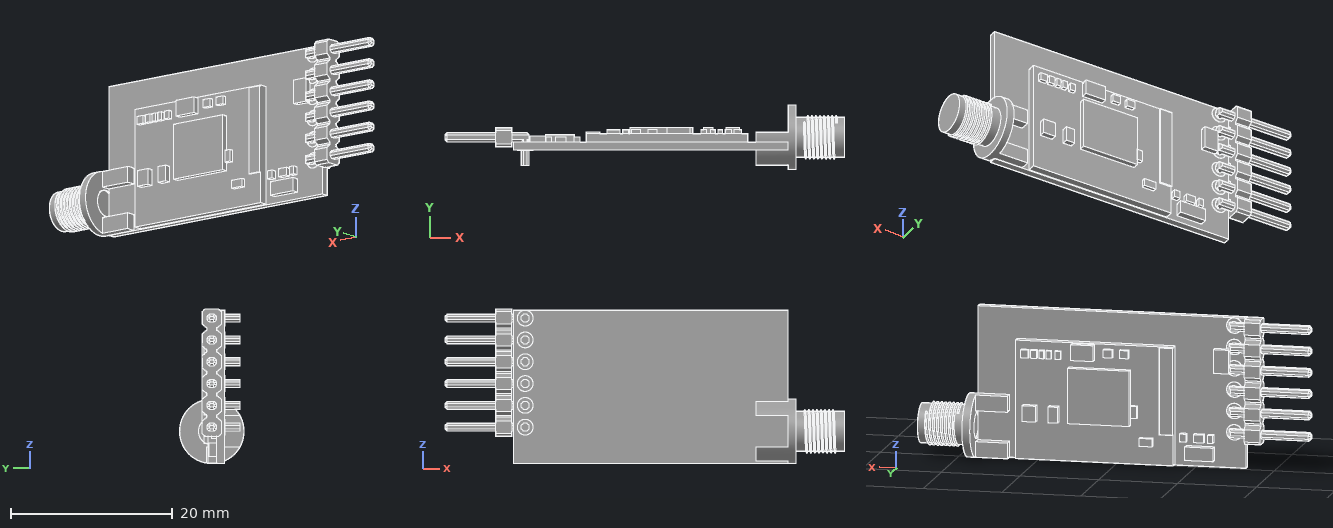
import cadquery as cq

BOARD_LENGTH = 34.0
BOARD_HEIGHT = 19.0
BOARD_THICKNESS = 1.0

PIN_COUNT = 6
PIN_PITCH = 2.7
PIN_WIDTH = 1.0
PIN_DEPTH = 1.2
PIN_BEVEL = 0.3
PIN_TIP_X = -8.5
PIN_HOLE_X = 1.45
PIN_TAIL_Y = -1.9
PIN_AXIS_Y = BOARD_THICKNESS + PIN_DEPTH / 2
PAD_DIAMETER = 1.95
PAD_THICKNESS = 0.04

HEADER_TOP_Z = 19.15
HEADER_END_MARGIN = 1.14
HEADER_LEFT_X = -2.2
HEADER_WIDTH = 2.0
HEADER_DEPTH = 2.4
HEADER_END_BEVEL = 0.35
NOTCH_DEPTH = 0.58
NOTCH_MOUTH = 1.2
NOTCH_FLOOR = 0.22
PIN_TOP_Z = HEADER_TOP_Z - HEADER_END_MARGIN
PIN_ROWS = [PIN_TOP_Z - row * PIN_PITCH for row in range(PIN_COUNT)]

FLANGE_DIAMETER = 8.0
FLANGE_THICKNESS = 1.0
CONNECTOR_Y = 1.6
CONNECTOR_Z = FLANGE_DIAMETER / 2
BARREL_DIAMETER = 5.0
BARREL_LENGTH = 6.0
LEG_LENGTH = 4.0
LEG_GAP = 3.9
LEG_BACK_Y = 2.25
SOCKET_DIAMETER = 3.3
SOCKET_DEPTH = 0.2

THREAD_START = 1.0
THREAD_TURNS = 8
THREAD_PITCH = 0.5
THREAD_LENGTH = THREAD_TURNS * THREAD_PITCH
THREAD_START_ANGLE = 135
THREAD_HEIGHT = 0.22
THREAD_ROOT_WIDTH = 0.36
THREAD_OVERLAP = 0.1

MODULE_LEFT_X = 9.0
MODULE_LENGTH = 20.0
MODULE_THICKNESS = 1.05
MODULE_BOTTOM_Z = 0.1
MODULE_HEIGHT = 15.0
MODULE_FACE_Y = BOARD_THICKNESS + MODULE_THICKNESS
BOARD_CHIP_HEIGHT = 0.65
MODULE_CHIP_HEIGHT = 0.5
TALL_CHIP_HEIGHT = 0.78

BOARD_COMPONENTS = [
    (2.0, 3.95, 12.0, 15.0, 0.76),
    (3.95, 7.55, 0.85, 2.55, 0.92),
    (4.05, 4.7, 3.1, 4.1, BOARD_CHIP_HEIGHT),
    (5.22, 6.5, 3.1, 4.1, BOARD_CHIP_HEIGHT),
    (7.47, 8.25, 3.1, 4.1, BOARD_CHIP_HEIGHT),
]
MODULE_COMPONENTS = [
    (9.0, 10.7, 4.0, 15.0, 0.22),
    (11.55, 13.2, 2.5, 3.5, MODULE_CHIP_HEIGHT),
    (13.5, 14.3, 6.0, 7.5, MODULE_CHIP_HEIGHT),
    (14.4, 22.2, 5.0, 12.0, TALL_CHIP_HEIGHT),
    (14.6, 15.7, 13.5, 14.5, MODULE_CHIP_HEIGHT),
    (16.65, 17.75, 13.5, 14.5, MODULE_CHIP_HEIGHT),
    (19.0, 21.85, 13.0, 15.0, TALL_CHIP_HEIGHT),
    (23.5, 24.7, 5.0, 7.0, TALL_CHIP_HEIGHT),
    (23.2, 23.9, 13.0, 14.0, MODULE_CHIP_HEIGHT),
    (24.4, 25.0, 13.0, 14.0, MODULE_CHIP_HEIGHT),
    (25.3, 25.9, 13.0, 14.0, MODULE_CHIP_HEIGHT),
    (26.2, 27.0, 13.0, 14.0, MODULE_CHIP_HEIGHT),
    (27.3, 28.25, 13.0, 14.0, MODULE_CHIP_HEIGHT),
    (26.3, 28.0, 5.0, 7.0, TALL_CHIP_HEIGHT),
]


def block(x_min, x_max, y_min, y_max, z_min, z_max):
    """Axis-aligned box between two opposite corners."""
    size = (x_max - x_min, y_max - y_min, z_max - z_min)
    return cq.Workplane("XY").box(*size, centered=False).translate((x_min, y_min, z_min))


def x_cylinder(diameter, x_min, x_max):
    """Cylinder along X on the connector axis."""
    plane = cq.Workplane("YZ", origin=(x_min, CONNECTOR_Y, CONNECTOR_Z))
    return plane.circle(diameter / 2).extrude(x_max - x_min)


def make_pin(z):
    """Bevelled right-angle pin with solder pads on both board faces."""
    bend_x = PIN_HOLE_X + PIN_WIDTH / 2
    back_y = PIN_AXIS_Y + PIN_DEPTH / 2
    half_width = PIN_WIDTH / 2
    arm = block(PIN_TIP_X, bend_x, BOARD_THICKNESS, back_y, z - half_width, z + half_width)
    arm = arm.edges("|X").chamfer(PIN_BEVEL)
    arm = arm.faces("<X").chamfer(PIN_BEVEL)
    arm = arm.faces(">X").edges(">Y").chamfer(PIN_BEVEL)
    tail = block(PIN_HOLE_X - half_width, bend_x, PIN_TAIL_Y, PIN_AXIS_Y, z - half_width, z + half_width)
    tail = tail.edges("|Y").chamfer(PIN_BEVEL)
    pad_plane = cq.Workplane("XZ", origin=(PIN_HOLE_X, BOARD_THICKNESS + PAD_THICKNESS, z))
    pads = pad_plane.circle(PAD_DIAMETER / 2).extrude(BOARD_THICKNESS + 2 * PAD_THICKNESS)
    return arm.union(tail).union(pads)


def make_header():
    """Plastic strip with a V-like notch on both sides between neighbouring pins."""
    bottom_z = PIN_ROWS[-1] - HEADER_END_MARGIN
    right_x = HEADER_LEFT_X + HEADER_WIDTH
    half_depth = HEADER_DEPTH / 2
    strip = block(
        HEADER_LEFT_X, right_x, PIN_AXIS_Y - half_depth, PIN_AXIS_Y + half_depth, bottom_z, HEADER_TOP_Z
    )
    strip = strip.edges("|X").chamfer(HEADER_END_BEVEL)
    half_floor = NOTCH_FLOOR / 2
    half_mouth = NOTCH_MOUTH / 2
    for upper_pin_z in PIN_ROWS[:-1]:
        notch_z = upper_pin_z - PIN_PITCH / 2
        for side in (-1, 1):
            face_y = side * half_depth
            floor_y = side * (half_depth - NOTCH_DEPTH)
            notch = (
                cq.Workplane("YZ", origin=(HEADER_LEFT_X, PIN_AXIS_Y, notch_z))
                .polyline([
                    (face_y, -half_mouth), (floor_y, -half_floor), (floor_y, half_floor), (face_y, half_mouth)
                ])
                .close()
                .extrude(HEADER_WIDTH)
            )
            strip = strip.cut(notch)
    return strip


def make_thread():
    """Triangular helical ridge, rooted slightly inside the barrel."""
    root_radius = BARREL_DIAMETER / 2 - THREAD_OVERLAP
    crest_radius = BARREL_DIAMETER / 2 + THREAD_HEIGHT
    half_root = THREAD_ROOT_WIDTH / 2
    helix = cq.Wire.makeHelix(THREAD_PITCH, THREAD_LENGTH, root_radius)
    ridge = (
        cq.Workplane("XZ")
        .polyline([(root_radius, -half_root), (crest_radius, 0), (root_radius, half_root)])
        .close()
        .sweep(cq.Workplane(obj=helix), isFrenet=True)
    )
    start_x = BOARD_LENGTH + FLANGE_THICKNESS + THREAD_START
    ridge = ridge.rotate((0, 0, 0), (0, 1, 0), 90)
    ridge = ridge.rotate((0, 0, 0), (1, 0, 0), THREAD_START_ANGLE)
    return ridge.translate((start_x, CONNECTOR_Y, CONNECTOR_Z))


def make_connector():
    """Flange with two legs gripping the board edge, and a threaded barrel."""
    flange_right_x = BOARD_LENGTH + FLANGE_THICKNESS
    leg_left_x = BOARD_LENGTH - LEG_LENGTH
    radius = FLANGE_DIAMETER / 2
    flange = x_cylinder(FLANGE_DIAMETER, BOARD_LENGTH, flange_right_x)
    flange = flange.cut(x_cylinder(SOCKET_DIAMETER, BOARD_LENGTH, BOARD_LENGTH + SOCKET_DEPTH))
    legs = x_cylinder(FLANGE_DIAMETER, leg_left_x, BOARD_LENGTH)
    leg_envelope = block(
        leg_left_x, BOARD_LENGTH, CONNECTOR_Y - radius, LEG_BACK_Y, CONNECTOR_Z - radius, CONNECTOR_Z + radius
    )
    gap = block(
        leg_left_x, BOARD_LENGTH, CONNECTOR_Y - radius, CONNECTOR_Y + radius,
        CONNECTOR_Z - LEG_GAP / 2, CONNECTOR_Z + LEG_GAP / 2,
    )
    legs = legs.intersect(leg_envelope).cut(gap)
    barrel = x_cylinder(BARREL_DIAMETER, flange_right_x, flange_right_x + BARREL_LENGTH)
    barrel = barrel.union(make_thread())
    return flange.union(legs).union(barrel)


def add_components(body, face_y, components):
    """Add box-shaped components standing on a face parallel to the board."""
    for left_x, right_x, bottom_z, top_z, height in components:
        body = body.union(block(left_x, right_x, face_y, face_y + height, bottom_z, top_z))
    return body


board = block(0, BOARD_LENGTH, 0, BOARD_THICKNESS, 0, BOARD_HEIGHT)
module = block(
    MODULE_LEFT_X, MODULE_LEFT_X + MODULE_LENGTH, BOARD_THICKNESS, MODULE_FACE_Y,
    MODULE_BOTTOM_Z, MODULE_BOTTOM_Z + MODULE_HEIGHT,
)
result = board.union(module)
result = add_components(result, BOARD_THICKNESS, BOARD_COMPONENTS)
result = add_components(result, MODULE_FACE_Y, MODULE_COMPONENTS)
result = result.union(make_header())
for pin_z in PIN_ROWS:
    result = result.union(make_pin(pin_z))
result = result.union(make_connector())